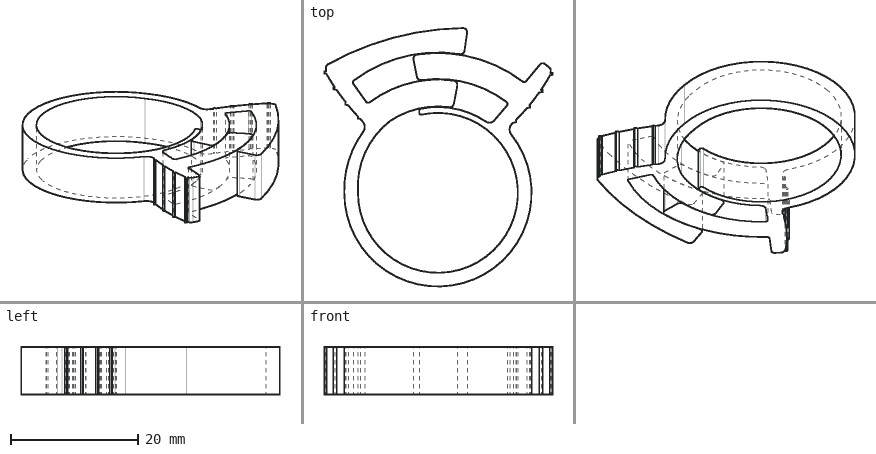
import cadquery as cq
import math

WIDTH = 7.5

RING_INNER = 12.55
RING_OUTER = 14.74
LEFT_INNER_MIDDLE = (-11.3, 6.6)
LEFT_INNER_END_X = -7.5
LEFT_OUTER_MIDDLE = (-14.2, 4.55)

CLEARANCE = 0.05
TONGUE_CONTACT = 13.54
INNER_CONTACT = 17.86
OUTER_CONTACT = 22.03

OUTER_ARM_END_X = (4.72, 4.1)
MIDDLE_ARM_END_X = (-4.0, -3.2)
INNER_ARM_END_X = (3.2, 2.4)
TONGUE_END_X = -2.95

LEFT_SLOT_X = (-13.5, -11.05)
RIGHT_SLOT_X = (11.1, 8.25)

BACK_RADIUS = 44.66
BACK_CENTER = (4.56, -18.73)
BACK_LEFT_X = -17.7

LEFT_GRIP_TOP = (-17.5, 18.6)
LEFT_GRIP_MIDDLE = (-14.9, 14.75)
LEFT_ROOT = (-11.1, 10.45)
LEFT_RIB_TIPS = [(-17.87, 18.75), (-16.42, 16.27), (-14.57, 13.85), (-12.58, 11.68)]

RIGHT_GRIP_TOP = (17.6, 18.4)
RIGHT_GRIP_MIDDLE = (14.98, 14.5)
RIGHT_ROOT_X = 10.78
RIGHT_RIB_TIPS = [(18.05, 18.55), (16.45, 15.85), (14.48, 13.4), (12.35, 11.1)]
FINGER_TIP_INNER = (16.4, 20.62)
FINGER_TIP_OUTER = (17.83, 19.45)
NOTCH_X = 13.62

RIB_HEIGHT = 0.33
RIB_DEPTH = 0.6
RIB_UNDERSIDE_DROP = 0.12

ROOT_ROUND = 1.3
SLOT_ROUND = 0.4
TONGUE_ROOT_ROUND = 1.0
ARM_ROUND = 0.7
TONGUE_ROUND = 0.3
HEAD_ROUND = 0.7
FINGER_ROUND = 0.55

half_gap = CLEARANCE / 2
outer_arm_inner = OUTER_CONTACT + half_gap
middle_arm_outer = OUTER_CONTACT - half_gap
middle_arm_inner = INNER_CONTACT + half_gap
inner_arm_outer = INNER_CONTACT - half_gap
inner_arm_inner = TONGUE_CONTACT + half_gap
tongue_outer = TONGUE_CONTACT - half_gap


def on_circle(radius, x, center=(0, 0)):
    """Upper point of a circle at the given x."""
    return (x, center[1] + math.sqrt(radius**2 - (x - center[0]) ** 2))


def arc_to(outline, radius, x_start, x_end, center=(0, 0)):
    """Extend the outline along the upper half of a circle."""
    middle = on_circle(radius, (x_start + x_end) / 2, center)
    return outline.threePointArc(middle, on_circle(radius, x_end, center))


back_left = on_circle(BACK_RADIUS, BACK_LEFT_X, BACK_CENTER)
outer_arm_end = [
    on_circle(BACK_RADIUS, OUTER_ARM_END_X[0], BACK_CENTER),
    on_circle(outer_arm_inner, OUTER_ARM_END_X[1]),
]
left_slot = [
    on_circle(outer_arm_inner, LEFT_SLOT_X[0]),
    on_circle(inner_arm_outer, LEFT_SLOT_X[1]),
]
inner_arm_end = [
    on_circle(inner_arm_outer, INNER_ARM_END_X[0]),
    on_circle(inner_arm_inner, INNER_ARM_END_X[1]),
]
tongue_end = [
    on_circle(RING_INNER, TONGUE_END_X),
    on_circle(tongue_outer, TONGUE_END_X),
]
right_slot = [
    on_circle(tongue_outer, RIGHT_SLOT_X[1]),
    on_circle(middle_arm_inner, RIGHT_SLOT_X[0]),
]
middle_arm_end = [
    on_circle(middle_arm_inner, MIDDLE_ARM_END_X[1]),
    on_circle(middle_arm_outer, MIDDLE_ARM_END_X[0]),
]
notch = on_circle(middle_arm_outer, NOTCH_X)
right_root = on_circle(RING_OUTER, RIGHT_ROOT_X)


def clamp_body():
    """One closed outline around both sets of arms and the ring, extruded."""
    outline = cq.Workplane("XY").moveTo(RING_OUTER, 0)
    outline = outline.threePointArc((0, -RING_OUTER), (-RING_OUTER, 0))
    outline = outline.threePointArc(LEFT_OUTER_MIDDLE, LEFT_ROOT)
    outline = outline.threePointArc(LEFT_GRIP_MIDDLE, LEFT_GRIP_TOP)
    outline = outline.lineTo(*back_left)

    outline = arc_to(outline, BACK_RADIUS, BACK_LEFT_X, OUTER_ARM_END_X[0], BACK_CENTER)
    outline = outline.lineTo(*outer_arm_end[1])
    outline = arc_to(outline, outer_arm_inner, OUTER_ARM_END_X[1], LEFT_SLOT_X[0])
    outline = outline.lineTo(*left_slot[1])
    outline = arc_to(outline, inner_arm_outer, LEFT_SLOT_X[1], INNER_ARM_END_X[0])
    outline = outline.lineTo(*inner_arm_end[1])
    outline = arc_to(outline, inner_arm_inner, INNER_ARM_END_X[1], LEFT_INNER_END_X)

    outline = outline.threePointArc(LEFT_INNER_MIDDLE, (-RING_INNER, 0))
    outline = outline.threePointArc((0, -RING_INNER), (RING_INNER, 0))
    outline = arc_to(outline, RING_INNER, RING_INNER, TONGUE_END_X)
    outline = outline.lineTo(*tongue_end[1])

    outline = arc_to(outline, tongue_outer, TONGUE_END_X, RIGHT_SLOT_X[1])
    outline = outline.lineTo(*right_slot[1])
    outline = arc_to(outline, middle_arm_inner, RIGHT_SLOT_X[0], MIDDLE_ARM_END_X[1])
    outline = outline.lineTo(*middle_arm_end[1])
    outline = arc_to(outline, middle_arm_outer, MIDDLE_ARM_END_X[0], NOTCH_X)

    outline = outline.lineTo(*FINGER_TIP_INNER).lineTo(*FINGER_TIP_OUTER)
    outline = outline.lineTo(*RIGHT_GRIP_TOP)
    outline = outline.threePointArc(RIGHT_GRIP_MIDDLE, right_root)
    outline = arc_to(outline, RING_OUTER, RIGHT_ROOT_X, RING_OUTER)
    return outline.close().extrude(WIDTH)


def round_corners(body, corners, radius):
    """Fillet the full-width edges that stand on the given corner points."""
    for x, y in corners:
        edge = cq.selectors.NearestToPointSelector((x, y, WIDTH / 2))
        body = body.edges(edge).fillet(radius)
    return body


def grip_rib(tip, inward):
    """Ridge with its lower outer corner at tip; inward is +1 or -1 along X."""
    x, y = tip
    root_x = x + inward * RIB_DEPTH
    corners = [
        tip,
        (x, y + RIB_HEIGHT),
        (root_x, y + RIB_HEIGHT),
        (root_x, y - RIB_UNDERSIDE_DROP),
    ]
    return cq.Workplane("XY").polyline(corners).close().extrude(WIDTH)


result = clamp_body()
result = round_corners(result, [back_left], HEAD_ROUND)
result = round_corners(result, outer_arm_end + inner_arm_end + middle_arm_end, ARM_ROUND)
result = round_corners(result, left_slot + right_slot[1:] + [notch], SLOT_ROUND)
result = round_corners(result, right_slot[:1], TONGUE_ROOT_ROUND)
result = round_corners(result, tongue_end, TONGUE_ROUND)
result = round_corners(result, [FINGER_TIP_INNER, FINGER_TIP_OUTER], FINGER_ROUND)
result = round_corners(result, [LEFT_ROOT, right_root], ROOT_ROUND)
for rib_tip in LEFT_RIB_TIPS:
    result = result.union(grip_rib(rib_tip, 1))
for rib_tip in RIGHT_RIB_TIPS:
    result = result.union(grip_rib(rib_tip, -1))